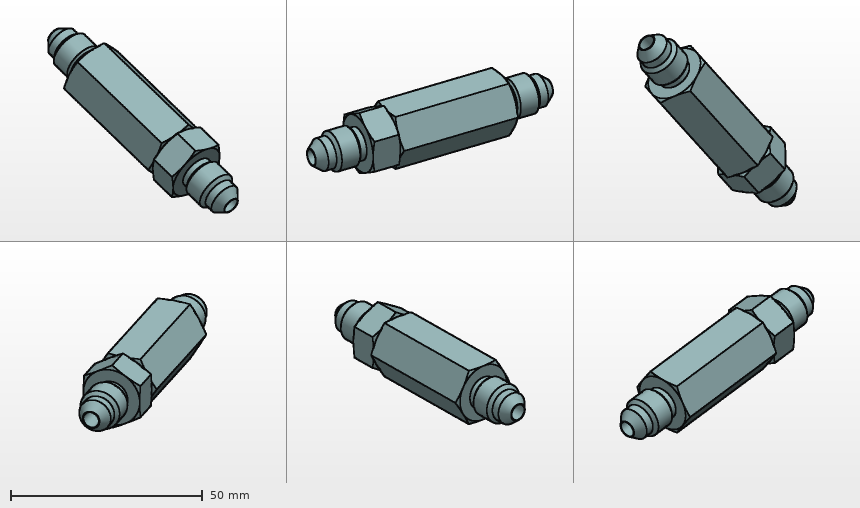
import cadquery as cq
import math

TOTAL_LENGTH = 71.1
HEX_CORNERS = 18.35
HEX_FLATS = HEX_CORNERS * math.cos(math.pi / 6)
BODY_HEX_START = 14.0
BODY_HEX_END = 48.9
CAP_HEX_END = 57.1
HEX_CHAMFER = 0.4

NOSE_DIAMETER = 8.95
TIP_DIAMETER = 4.8
THREAD_DIAMETER = 11.1
THREAD_ROOT = 9.75
NECK_DIAMETER = 9.2
NOSE_CONE_END = 2.6
THREAD_START = 5.05
THREAD_LEAD = 1.0
THREAD_END = 12.1
THREAD_RUNOUT = 0.65
BORE_DIAMETER = 4.35


def hexagon(start, end, corner_angle):
    """Hexagonal bar along X with both ends bevelled down to the flats."""
    length = end - start
    bar = (
        cq.Workplane("YZ")
        .polygon(6, HEX_CORNERS)
        .extrude(length)
        .rotate((0, 0, 0), (1, 0, 0), corner_angle)
    )
    flat_radius = HEX_FLATS / 2
    corner_radius = HEX_CORNERS / 2
    bevel = (
        cq.Workplane("XY")
        .polyline([
            (0, 0),
            (0, flat_radius),
            (HEX_CHAMFER, corner_radius),
            (length - HEX_CHAMFER, corner_radius),
            (length, flat_radius),
            (length, 0),
        ])
        .close()
        .revolve(360, (0, 0), (1, 0))
    )
    return bar.intersect(bevel).translate((start, 0, 0))


def stub(length):
    """Coned nose, plain land, thread and neck, with the tip at X = 0."""
    return (
        cq.Workplane("XY")
        .polyline([
            (0, 0),
            (0, TIP_DIAMETER / 2),
            (NOSE_CONE_END, NOSE_DIAMETER / 2),
            (THREAD_START, NOSE_DIAMETER / 2),
            (THREAD_START + THREAD_LEAD, THREAD_DIAMETER / 2),
            (THREAD_END - THREAD_RUNOUT, THREAD_DIAMETER / 2),
            (THREAD_END, THREAD_ROOT / 2),
            (THREAD_END, NECK_DIAMETER / 2),
            (length, NECK_DIAMETER / 2),
            (length, 0),
        ])
        .close()
        .revolve(360, (0, 0), (1, 0))
    )


def bore():
    """Flow passage through the whole assembly."""
    return cq.Workplane("YZ").circle(BORE_DIAMETER / 2).extrude(TOTAL_LENGTH)


def make_body():
    """Long hexagonal body, corners at +Y and -Y, with the inlet stub."""
    inlet = stub(BODY_HEX_START)
    return hexagon(BODY_HEX_START, BODY_HEX_END, 0).union(inlet).cut(bore())


def make_cap():
    """Short hexagonal cap, corners at +Z and -Z, with the outlet stub."""
    outlet = (
        stub(TOTAL_LENGTH - CAP_HEX_END)
        .mirror("YZ")
        .translate((TOTAL_LENGTH, 0, 0))
    )
    return hexagon(BODY_HEX_END, CAP_HEX_END, 90).union(outlet).cut(bore())


body = make_body()
cap = make_cap()
result = cq.Compound.makeCompound([body.val(), cap.val()])